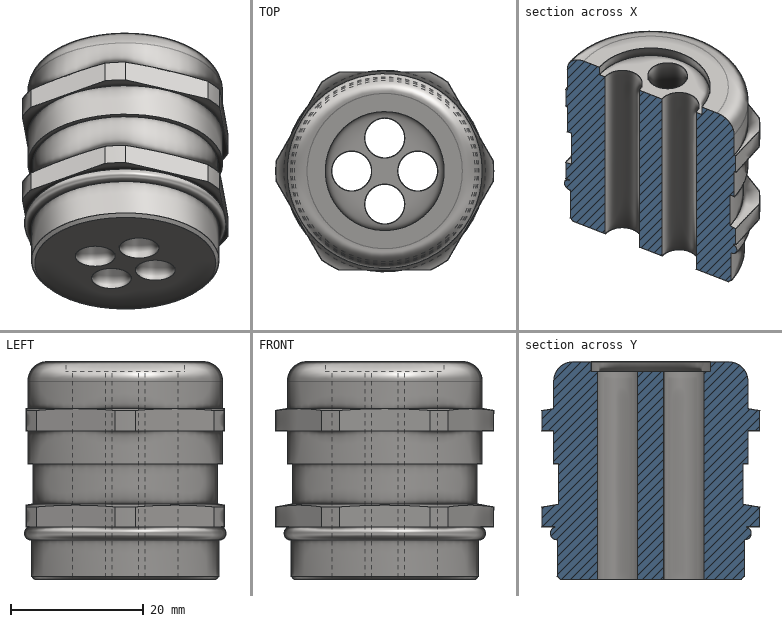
import cadquery as cq
import math

total_height = 33.0
thread_top = 6.0
body_hex_bottom = 8.0
body_hex_corner_top = 11.0
nut_bottom = 17.5
nut_hex_bottom = 22.5
nut_hex_corner_top = 25.6

thread_diameter = 28.4
thread_chamfer = 0.5
body_diameter = 28.0
nut_diameter = 29.5
nut_top_fillet = 3.0

hex_across_flats = 30.0
hex_corner_diameter = 33.0
hex_cone_angle = 10.0

ring_outer_diameter = 30.5

recess_diameter = 18.0
recess_depth = 1.5
cable_hole_count = 4
cable_hole_diameter = 6.0
cable_hole_circle_diameter = 10.0


def cylinder(diameter, bottom, top):
    return cq.Workplane("XY").workplane(offset=bottom).circle(diameter / 2).extrude(top - bottom)


def coned_hexagon(bottom, corner_top, collar_diameter):
    """Hexagon with a corner on the X axis and a top that rises toward the round collar."""
    corner_radius = hex_corner_diameter / 2
    collar_radius = collar_diameter / 2
    cone_rise = (corner_radius - collar_radius) * math.tan(math.radians(hex_cone_angle))
    collar_top = corner_top + cone_rise
    turned_blank = (
        cq.Workplane("XZ")
        .moveTo(0, bottom)
        .lineTo(corner_radius, bottom)
        .lineTo(corner_radius, corner_top)
        .lineTo(collar_radius, collar_top)
        .lineTo(0, collar_top)
        .close()
        .revolve(360, (0, 0, 0), (0, 1, 0))
    )
    across_corners = hex_across_flats / math.cos(math.radians(30))
    hexagon = (
        cq.Workplane("XY")
        .workplane(offset=bottom)
        .polygon(6, across_corners)
        .extrude(collar_top - bottom)
    )
    return hexagon.intersect(turned_blank)


def sealing_ring():
    """Ring with a half-round rim, filling the gap between the thread and the body hexagon."""
    outer_radius = ring_outer_diameter / 2
    rim_radius = (body_hex_bottom - thread_top) / 2
    rim_center_radius = outer_radius - rim_radius
    return (
        cq.Workplane("XZ")
        .moveTo(0, thread_top)
        .lineTo(rim_center_radius, thread_top)
        .threePointArc((outer_radius, thread_top + rim_radius), (rim_center_radius, body_hex_bottom))
        .lineTo(0, body_hex_bottom)
        .close()
        .revolve(360, (0, 0, 0), (0, 1, 0))
    )


def gland_body():
    thread = cylinder(thread_diameter, 0, body_hex_bottom).faces("<Z").chamfer(thread_chamfer)
    hexagon = coned_hexagon(body_hex_bottom, body_hex_corner_top, body_diameter)
    neck = cylinder(body_diameter, body_hex_bottom, nut_bottom)
    return thread.union(hexagon).union(neck).union(sealing_ring())


def dome_nut():
    dome = cylinder(nut_diameter, nut_bottom, total_height).faces(">Z").edges().fillet(nut_top_fillet)
    return dome.union(coned_hexagon(nut_hex_bottom, nut_hex_corner_top, nut_diameter))


def cable_holes():
    return (
        cq.Workplane("XY")
        .polarArray(cable_hole_circle_diameter / 2, 0, 360, cable_hole_count)
        .circle(cable_hole_diameter / 2)
        .extrude(total_height)
    )


recess = cylinder(recess_diameter, total_height - recess_depth, total_height)
result = gland_body().union(dome_nut()).cut(recess).cut(cable_holes())